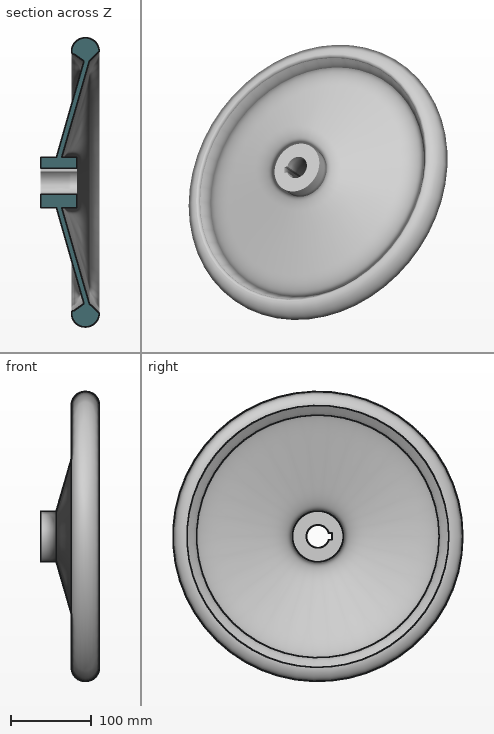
import cadquery as cq
import math

wheel_radius = 180.0
overall_depth = 73.0

rim_section_radius = 17.45
rim_center_x = overall_depth - rim_section_radius
rim_center_radius = wheel_radius - rim_section_radius
lip_round = 3.5
lip_inner_radius = rim_center_radius - lip_round
lip_inner_x = rim_center_x - rim_section_radius + lip_round

web_start_x = 19.5
web_slope = math.tan(math.radians(16))
web_outer_radius = 150.5
web_thickness = 7.2

hub_radius = 63.0 / 2
hub_length = 45.0
bore_radius = 14.0
key_width = 8.0
key_top = 17.3


def web_front_x(radius):
    """X position of the front face of the web at a given radius."""
    return web_start_x + (radius - hub_radius) * web_slope


def revolve_about_x(profile):
    """Revolve a closed profile of (x, radius) points about the X axis."""
    return profile.revolve(360, (0, 0, 0), (1, 0, 0))


def make_hub():
    return cq.Workplane("YZ").circle(hub_radius).extrude(hub_length)


def make_web():
    profile = (
        cq.Workplane("XY")
        .moveTo(web_front_x(0), 0)
        .lineTo(web_front_x(web_outer_radius), web_outer_radius)
        .lineTo(web_front_x(web_outer_radius) + web_thickness, web_outer_radius)
        .lineTo(web_front_x(0) + web_thickness, 0)
        .close()
    )
    return revolve_about_x(profile)


def make_rim():
    diagonal = math.sqrt(0.5)
    lip_middle = (lip_inner_x - lip_round * diagonal, rim_center_radius - lip_round * diagonal)
    web_edge_x = web_front_x(web_outer_radius)
    profile = (
        cq.Workplane("XY")
        .moveTo(rim_center_x - rim_section_radius, rim_center_radius)
        .threePointArc((rim_center_x, wheel_radius), (overall_depth, rim_center_radius))
        .lineTo(web_edge_x + web_thickness, web_outer_radius)
        .lineTo(web_edge_x, web_outer_radius)
        .lineTo(lip_inner_x, lip_inner_radius)
        .threePointArc(lip_middle, (rim_center_x - rim_section_radius, rim_center_radius))
        .close()
    )
    return revolve_about_x(profile)


def make_bore():
    bore = cq.Workplane("YZ").circle(bore_radius).extrude(hub_length)
    keyway = cq.Workplane("XY").box(hub_length, key_top, key_width, centered=(False, False, True))
    return bore.union(keyway)


result = make_hub().union(make_web()).union(make_rim()).cut(make_bore())